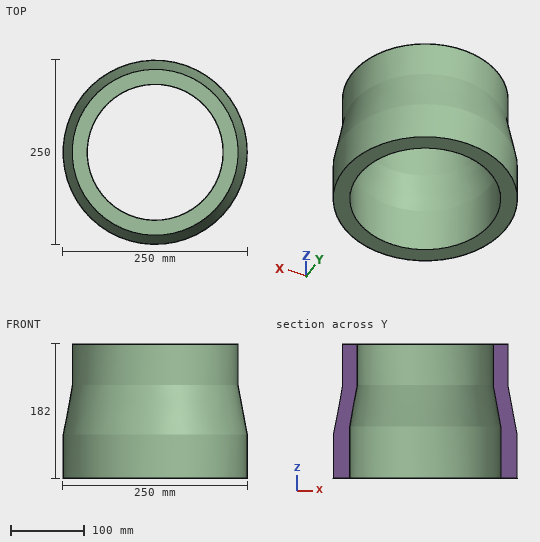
import cadquery as cq

large_diameter = 250.0
small_diameter = 225.0
large_bore = 204.5
small_bore = 184.0
total_height = 182.0
large_end_height = 59.5
small_end_height = 55.8
large_bore_depth = 70.0

cone_top = total_height - small_end_height


def stepped_cone(lower_diameter, upper_diameter, cone_bottom):
    """Solid of revolution: lower cylinder, cone, then upper cylinder."""
    lower_radius = lower_diameter / 2
    upper_radius = upper_diameter / 2
    profile = (
        cq.Workplane("XZ")
        .lineTo(lower_radius, 0)
        .lineTo(lower_radius, cone_bottom)
        .lineTo(upper_radius, cone_top)
        .lineTo(upper_radius, total_height)
        .lineTo(0, total_height)
        .close()
    )
    return profile.revolve(360, (0, 0, 0), (0, 1, 0))


outer_body = stepped_cone(large_diameter, small_diameter, large_end_height)
bore = stepped_cone(large_bore, small_bore, large_bore_depth)

result = outer_body.cut(bore)